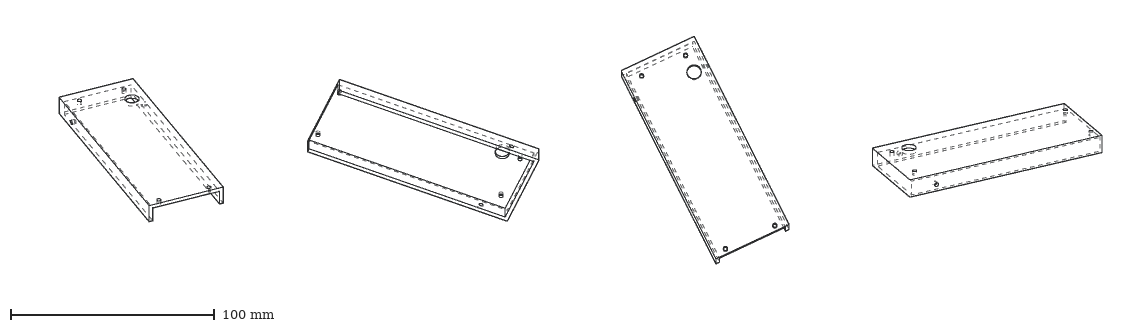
import cadquery as cq

LENGTH = 106.5
WIDTH = 40.0
HEIGHT = 9.5

TOP_THICKNESS = 2.0
WALL_THICKNESS = 2.0

CORNER_RADIUS = 0.5

SCREW_DIAMETER = 2.05
NEAR_SCREW_X = 6.75
NEAR_SCREW_SPACING = 24.0
FAR_SCREW_X = LENGTH - 2.75
FAR_SCREW_SPACING = 27.0

OPENING_DIAMETER = 7.0
OPENING_X = 16.25
OPENING_Y = NEAR_SCREW_SPACING / 2

CROSS_HOLE_DIAMETER = 2.05
CROSS_HOLE_X = 14.75
CROSS_HOLE_Z = 3.5


def make_body():
    """Solid block with rounded upright corners at the -X end."""
    block = cq.Workplane("XY").box(LENGTH, WIDTH, HEIGHT, centered=(False, True, False))
    return block.faces("<X").edges("|Z").fillet(CORNER_RADIUS)


def make_cavity():
    """Rectangular hollow below the top plate, open at the underside and at the +X end."""
    return (
        cq.Workplane("XY")
        .center(WALL_THICKNESS, 0)
        .box(
            LENGTH - WALL_THICKNESS,
            WIDTH - 2 * WALL_THICKNESS,
            HEIGHT - TOP_THICKNESS,
            centered=(False, True, False),
        )
    )


def make_vertical_drill(diameter, points):
    """Upright cylinders of full height at the given XY points."""
    return cq.Workplane("XY").pushPoints(points).circle(diameter / 2).extrude(HEIGHT)


def make_screw_drill():
    """Cylinders for both pairs of screw holes."""
    points = []
    for x, spacing in ((NEAR_SCREW_X, NEAR_SCREW_SPACING), (FAR_SCREW_X, FAR_SCREW_SPACING)):
        for side in (-1, 1):
            points.append((x, side * spacing / 2))
    return make_vertical_drill(SCREW_DIAMETER, points)


def make_cross_drill():
    """Cylinder along Y, crossing the full width."""
    return (
        cq.Workplane("XZ")
        .center(CROSS_HOLE_X, CROSS_HOLE_Z)
        .circle(CROSS_HOLE_DIAMETER / 2)
        .extrude(WIDTH / 2, both=True)
    )


result = (
    make_body()
    .cut(make_cavity())
    .cut(make_screw_drill())
    .cut(make_vertical_drill(OPENING_DIAMETER, [(OPENING_X, OPENING_Y)]))
    .cut(make_cross_drill())
)